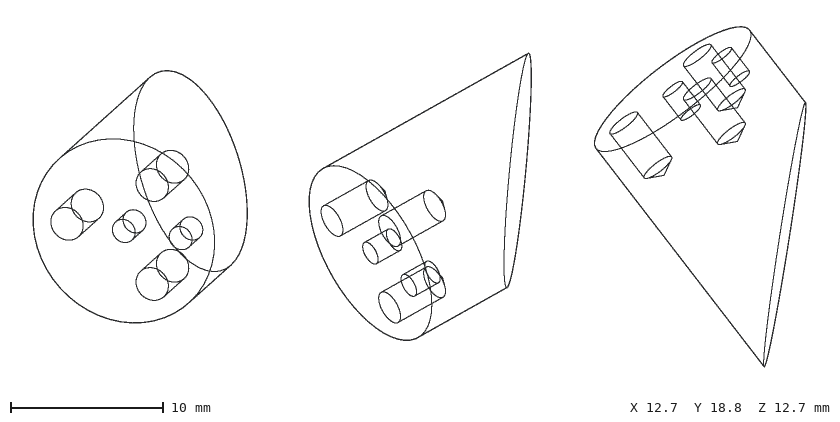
import cadquery as cq
import math

DIAMETER = 12.7
RADIUS = DIAMETER / 2
LONG_SIDE = 18.8
MIRROR_ANGLE = 45.0
SHORT_SIDE = LONG_SIDE - DIAMETER * math.tan(math.radians(MIRROR_ANGLE))

MOUNT_COUNT = 3
MOUNT_CIRCLE_RADIUS = 3.97
MOUNT_HOLE_DIAMETER = 2.26
MOUNT_HOLE_DEPTH = 3.8
MOUNT_FIRST_ANGLE = 180.0
DRILL_POINT_ANGLE = 118.0

PIN_HOLE_DIAMETER = 1.6
PIN_HOLE_DEPTH = 2.0
PIN_HOLE_CENTERS = [(0, 0), (MOUNT_CIRCLE_RADIUS, 0)]

INTO_BODY = cq.Vector(0, 1, 0)


def make_body():
    """Round bar from the flat back at Y = 0, longest on the -X side."""
    bar = cq.Workplane("XZ").circle(RADIUS).extrude(-LONG_SIDE)
    side_outline = (
        cq.Workplane("XY")
        .moveTo(-RADIUS, 0)
        .lineTo(RADIUS, 0)
        .lineTo(RADIUS, SHORT_SIDE)
        .lineTo(-RADIUS, LONG_SIDE)
        .close()
    )
    return bar.intersect(side_outline.extrude(RADIUS, both=True))


def flat_hole(x, z, diameter, depth):
    """Cylinder going into the back face at (x, z)."""
    return cq.Solid.makeCylinder(diameter / 2, depth, cq.Vector(x, 0, z), INTO_BODY)


def drilled_hole(x, z, diameter, depth):
    """Cylinder of the given depth, ending in a drill-point cone."""
    radius = diameter / 2
    point_length = radius / math.tan(math.radians(DRILL_POINT_ANGLE / 2))
    point = cq.Solid.makeCone(radius, 0, point_length, cq.Vector(x, depth, z), INTO_BODY)
    return flat_hole(x, z, diameter, depth).fuse(point)


def mount_centers():
    """Positions (x, z) of the mounting holes."""
    angles = [math.radians(MOUNT_FIRST_ANGLE + i * 360 / MOUNT_COUNT) for i in range(MOUNT_COUNT)]
    return [(MOUNT_CIRCLE_RADIUS * math.cos(a), MOUNT_CIRCLE_RADIUS * math.sin(a)) for a in angles]


result = make_body()
for x, z in mount_centers():
    result = result.cut(drilled_hole(x, z, MOUNT_HOLE_DIAMETER, MOUNT_HOLE_DEPTH))
for x, z in PIN_HOLE_CENTERS:
    result = result.cut(flat_hole(x, z, PIN_HOLE_DIAMETER, PIN_HOLE_DEPTH))